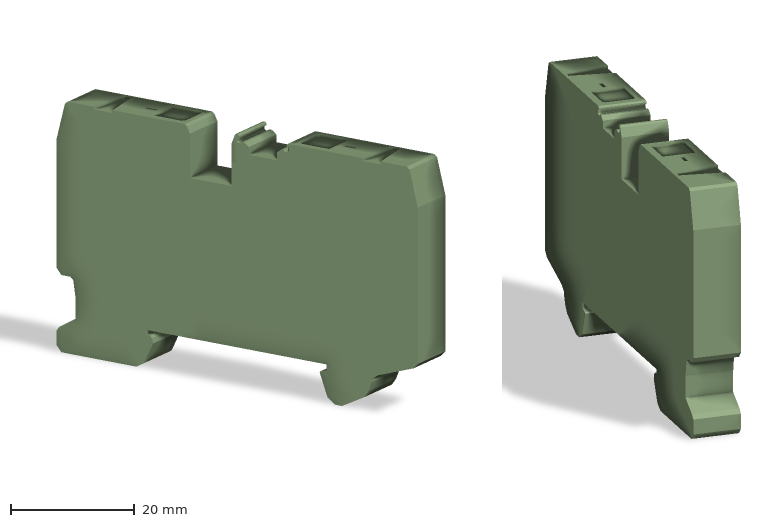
import cadquery as cq


length = 69.5
width = 8.2
height = 42.6
middle_x = length / 2

shoulder_z = 36.0
shoulder_inset = 1.6
shoulder_bevel_run = 0.55
shoulder_bevel_drop = 0.4

slot_left = 25.65
slot_right = 33.65
slot_floor_z = 33.65
slot_lip_z = 41.15
slot_lip_run = 0.55
slot_lip_drop = 0.35
slot_lip_bevel_run = 0.4

seat_x = 39.7
seat_floor_z = 39.5
seat_half_width = 2.7
seat_wall_z = 40.8
ridge_z = 41.4
ridge_inner = 3.55
ridge_outer = 4.0
trough_z = 41.15
trough_inner = 4.25
trough_outer = 4.7
undercut = 5.0
undercut_low_z = 41.35
undercut_high_z = 42.05
hook_overhang = 4.6
hook_bevel_z = 42.3
hook_bevel_run = 0.2

hook_root_z = 40.8
hook_lean = 0.6
hook_tip_bevel_run = 0.2

rail_left = 17.25
rail_right = 51.9
rail_roof_z = 6.5

claw_lip_z = 5.5
claw_nose_x = 50.6
claw_nose_z = 5.0
claw_nose_bevel_run = 0.2
claw_nose_bevel_rise = 0.2
claw_heel_x = 52.1
claw_heel_z = 1.0
claw_flat_left = 53.5
claw_flat_right = 54.85
claw_toe_x = 55.45
claw_toe_z = 0.3
claw_flank_x = 59.2
claw_flank_z = 2.2
claw_knee_x = 60.05
claw_knee_z = 3.4
claw_neck_x = 60.7
claw_neck_low_z = 5.0
claw_neck_high_z = 5.5
underside_left = 61.7
underside_left_z = 6.3
underside_right = 68.7
underside_right_z = 8.7
right_face_z = 9.6

foot_lip_z = 5.7
foot_lip_x = 18.0
foot_nose_x = 18.55
foot_nose_z = 4.45
foot_nose_bevel_run = 0.2
foot_nose_bevel_rise = 0.8
foot_heel_x = 16.8
foot_heel_z = 0.8
foot_flat_right = 15.35
corner_bevel_x = 0.9
corner_bevel_z = 1.05
foot_face_z = 3.6
foot_ramp_x = 0.6
foot_ramp_z = 4.3

notch_x = 3.6
notch_low_z = 6.1
notch_bend_z = 9.9
notch_lean = 0.4
notch_bevel_run = 0.55
notch_bevel_drop = 0.5
notch_roof_z = 13.1

recess_depth = 0.5
wedge_offset = 25.8
wedge_base = 3.6
wedge_tip = 1.2
wedge_length = 7.65
window_inner = 11.05
window_outer = 16.9
window_front = 1.25
window_back = 6.95
window_bevel = 0.4
mark_inner = 18.0
mark_outer = 20.2
mark_front = 3.75
mark_back = 4.4


def left_end_points():
    """Foot and notch, from the rail recess round to the top of the left end face."""
    return [
        (rail_left, rail_roof_z),
        (rail_left, foot_lip_z),
        (foot_lip_x, foot_lip_z),
        (foot_nose_x - foot_nose_bevel_run, foot_nose_z + foot_nose_bevel_rise),
        (foot_nose_x, foot_nose_z),
        (foot_heel_x, foot_heel_z),
        (foot_flat_right, 0),
        (corner_bevel_x, 0),
        (0, corner_bevel_z),
        (0, foot_face_z),
        (foot_ramp_x, foot_ramp_z),
        (notch_x, notch_low_z),
        (notch_x, notch_bend_z),
        (notch_x - notch_lean, notch_roof_z - notch_bevel_drop),
        (notch_x - notch_lean - notch_bevel_run, notch_roof_z),
        (corner_bevel_x, notch_roof_z),
        (0, notch_roof_z + corner_bevel_z),
        (0, shoulder_z),
        (shoulder_inset, height - shoulder_bevel_drop),
        (shoulder_inset + shoulder_bevel_run, height),
    ]


def slot_points():
    """Wide slot and the outer side of the hook, from left to right."""
    lip_x = slot_left - slot_lip_run
    hook_side_x = slot_right + hook_lean
    return [
        (lip_x - slot_lip_bevel_run, height),
        (lip_x, height - slot_lip_drop),
        (slot_left, slot_lip_z),
        (slot_left, slot_floor_z),
        (slot_right, slot_floor_z),
        (slot_right, hook_root_z),
        (hook_side_x, hook_bevel_z),
        (hook_side_x + hook_tip_bevel_run, height),
    ]


def seat_points():
    """Marker seat, from left to right: one half and its mirror image."""
    half = [
        (hook_overhang + hook_bevel_run, height),
        (hook_overhang, hook_bevel_z),
        (hook_overhang, undercut_high_z),
        (undercut, undercut_high_z),
        (undercut, undercut_low_z),
        (trough_outer, trough_z),
        (trough_inner, trough_z),
        (ridge_outer, ridge_z),
        (ridge_inner, ridge_z),
        (seat_half_width, seat_wall_z),
        (seat_half_width, seat_floor_z),
    ]
    left = [(seat_x - offset, z) for offset, z in half]
    right = [(seat_x + offset, z) for offset, z in reversed(half)]
    return left + right


def right_end_points():
    """Right end face, sloping underside and claw, from the top down to the rail recess."""
    return [
        (length - shoulder_inset - shoulder_bevel_run, height),
        (length - shoulder_inset, height - shoulder_bevel_drop),
        (length, shoulder_z),
        (length, right_face_z),
        (underside_right, underside_right_z),
        (underside_left, underside_left_z),
        (claw_neck_x, claw_neck_high_z),
        (claw_neck_x, claw_neck_low_z),
        (claw_knee_x, claw_knee_z),
        (claw_flank_x, claw_flank_z),
        (claw_toe_x, claw_toe_z),
        (claw_flat_right, 0),
        (claw_flat_left, 0),
        (claw_heel_x, claw_heel_z),
        (claw_nose_x, claw_nose_z),
        (claw_nose_x + claw_nose_bevel_run, claw_nose_z + claw_nose_bevel_rise),
        (rail_right, claw_lip_z),
        (rail_right, rail_roof_z),
    ]


def make_body():
    outline = left_end_points() + slot_points() + seat_points() + right_end_points()
    return cq.Workplane("XZ").polyline(outline).close().extrude(-width)


def top_recess(points):
    """Cutter sunk into the top face, with its outline given in X and Y."""
    return cq.Workplane("XY", origin=(0, 0, height)).polyline(points).close().extrude(-recess_depth)


def make_recesses(side):
    """Wedge, window and mark recesses on one side of the middle (side is -1 or +1)."""
    wedge = [
        (wedge_offset - wedge_base / 2, 0),
        (wedge_offset + wedge_base / 2, 0),
        (wedge_offset + wedge_tip / 2, wedge_length),
        (wedge_offset - wedge_tip / 2, wedge_length),
    ]
    window = [
        (window_inner + window_bevel, window_front),
        (window_outer, window_front),
        (window_outer, window_back),
        (window_inner + window_bevel, window_back),
        (window_inner, window_back - window_bevel),
        (window_inner, window_front + window_bevel),
    ]
    mark = [
        (mark_inner, mark_front),
        (mark_outer, mark_front),
        (mark_outer, mark_back),
        (mark_inner, mark_back),
    ]
    return [
        top_recess([(middle_x + side * offset, y) for offset, y in shape])
        for shape in (wedge, window, mark)
    ]


result = make_body()
for side in (-1, 1):
    for recess in make_recesses(side):
        result = result.cut(recess)